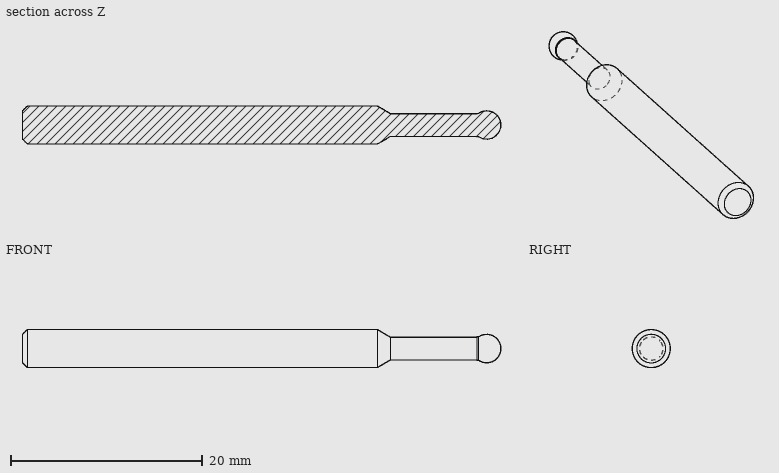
import cadquery as cq
import math

total_length = 50.0
shank_radius = 2.0
end_chamfer = 0.5
shank_length = 37.1
neck_start = 38.45
neck_radius = 1.2
ball_radius = 1.5
head_length = 2.5
rim_width = 0.15

ball_center = total_length - ball_radius
head_start = total_length - head_length
ball_start = head_start + rim_width
rim_radius = math.sqrt(ball_radius**2 - (ball_center - ball_start) ** 2)

profile = (
    cq.Workplane("XY")
    .moveTo(0, 0)
    .lineTo(0, shank_radius - end_chamfer)
    .lineTo(end_chamfer, shank_radius)
    .lineTo(shank_length, shank_radius)
    .lineTo(neck_start, neck_radius)
    .lineTo(head_start, neck_radius)
    .lineTo(head_start, rim_radius)
    .lineTo(ball_start, rim_radius)
    .threePointArc((ball_center, ball_radius), (total_length, 0))
    .close()
)

result = profile.revolve(360, (0, 0, 0), (1, 0, 0))